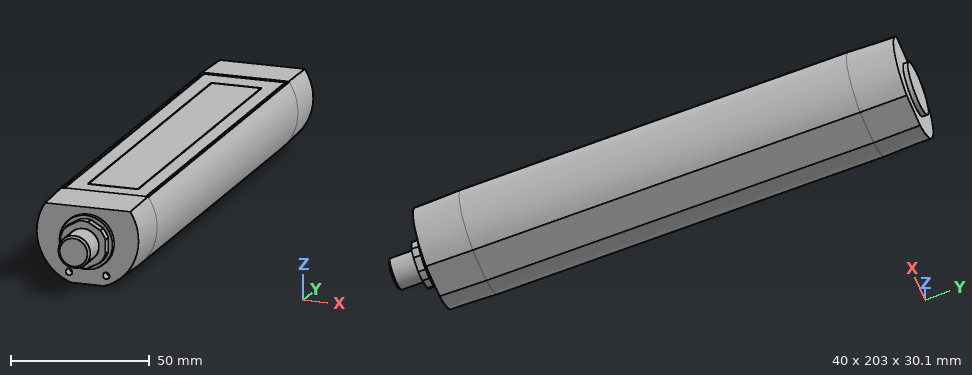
import cadquery as cq
import math

body_radius = 20.0
top_height = 11.2
bottom_depth = 18.9

total_length = 203
connector_tip = -total_length / 2
rear_end = total_length / 2
stub_length = 10.2
nut_length = 3.0
flange_length = 1.8
cap_length = 18.0
nut_start = connector_tip + stub_length
front_flange_start = nut_start + nut_length
front_face = front_flange_start + flange_length
front_joint = front_face + cap_length
rear_face = rear_end - flange_length
rear_joint = rear_face - cap_length

cap_inset = 0.5
cap_taper = math.degrees(math.atan(cap_inset / cap_length))

connector_z = -2.0
flange_radius = 10.2
nut_across_flats = 17.0
nut_corner_radius = 9.0
stub_radius = 6.0
stub_chamfer = 0.8

hole_diameter = 2.5
hole_depth = 4.0
hole_spacing = 14.2
hole_drop = 12.4

flat_depth = 0.2
flat_width = 2 * body_radius
cover_width = 31.3
cover_depth = 0.2
cover_end_gap = 0.6
window_width = 19.0
window_depth = 0.2
window_front_margin = 9.0
window_rear_margin = 9.5


def section_plane(y, direction):
    """Plane across the body at y, facing +Y (direction 1) or -Y (direction -1)."""
    return cq.Plane(origin=(0, y, 0), xDir=(-direction, 0, 0), normal=(0, direction, 0))


def body_section(y, direction):
    """Closed outline of the body: two flats joined by arcs."""
    top_half = math.sqrt(body_radius**2 - top_height**2)
    bottom_half = math.sqrt(body_radius**2 - bottom_depth**2)
    return (
        cq.Workplane(section_plane(y, direction))
        .moveTo(-top_half, top_height)
        .lineTo(top_half, top_height)
        .threePointArc((body_radius, 0), (bottom_half, -bottom_depth))
        .lineTo(-bottom_half, -bottom_depth)
        .threePointArc((-body_radius, 0), (-top_half, top_height))
        .close()
    )


def connector_plane(y):
    """Plane facing +Y, centred on the connector axis."""
    return cq.Workplane(section_plane(y, 1)).center(0, connector_z)


def top_pocket(width, y_start, y_end, floor_z):
    """Rectangular cutter reaching from floor_z up to the top flat."""
    return cq.Workplane("XY").box(
        width, y_end - y_start, top_height - floor_z, centered=(True, False, False)
    ).translate((0, y_start, floor_z))


tube = body_section(front_joint, 1).extrude(rear_joint - front_joint)
front_cap = body_section(front_joint, -1).extrude(cap_length, taper=cap_taper)
rear_cap = body_section(rear_joint, 1).extrude(cap_length, taper=cap_taper)
body = tube.union(front_cap).union(rear_cap)

flat_floor = top_height - flat_depth
cover_floor = flat_floor - cover_depth
flat = top_pocket(flat_width, front_joint, rear_joint, flat_floor)
cover = top_pocket(cover_width, front_joint, rear_joint - cover_end_gap, cover_floor)
window = top_pocket(
    window_width,
    front_joint + window_front_margin,
    rear_joint - window_rear_margin,
    cover_floor - window_depth,
)
body = body.cut(flat).cut(cover).cut(window)

holes = (
    connector_plane(front_face)
    .center(0, -hole_drop)
    .rarray(hole_spacing, 2, 2, 1)
    .circle(hole_diameter / 2)
    .extrude(hole_depth)
)
body = body.cut(holes)

front_flange = connector_plane(front_flange_start).circle(flange_radius).extrude(flange_length)
nut = (
    connector_plane(nut_start)
    .polygon(6, nut_across_flats, circumscribed=True)
    .extrude(nut_length)
)
nut_rounding = connector_plane(nut_start).circle(nut_corner_radius).extrude(nut_length)
nut = nut.intersect(nut_rounding)
stub = (
    connector_plane(connector_tip)
    .circle(stub_radius)
    .extrude(stub_length)
    .faces("<Y")
    .chamfer(stub_chamfer)
)

rear_flange = connector_plane(rear_face).circle(flange_radius).extrude(flange_length)

result = body.union(front_flange).union(nut).union(stub).union(rear_flange)